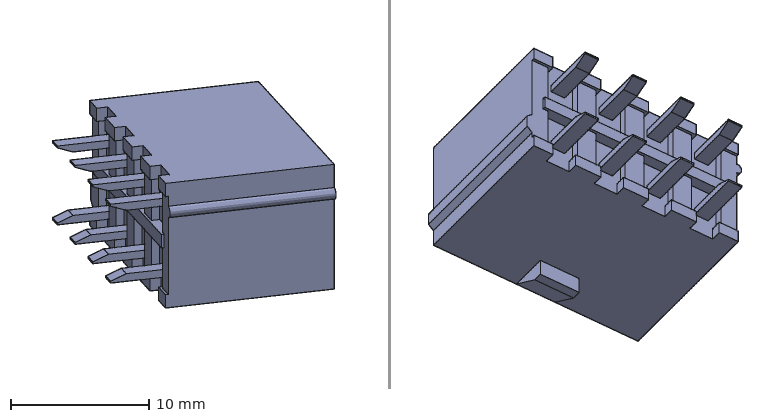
import cadquery as cq


width = 17.94
height = 9.63
length = 12.8
pad_step = 0.2
half_width = width / 2
half_height = height / 2
body_length = length - pad_step

columns = 4
column_pitch = 4.2
column_xs = [(i - (columns - 1) / 2) * column_pitch for i in range(columns)]

pocket_depth = 0.83
pocket_width = 2.55
notch_width = 2.0
pad_height = 1.03
pocket_height = height - 2 * pad_height

bar_width = 16.0
bar_height = 1.03

pin_width = 1.18
pin_thickness = 0.6
pin_reach = 3.5
pin_taper_length = 1.18
pin_tip_thickness = 0.15
row_spacing = 5.49
row_offset = -0.19

rib_reach = 0.43
key_z = -2.46
key_base = 1.8
key_crest = 1.02
bead_z = 2.6

latch_width = 3.4
latch_length = 3.06
latch_flat = 0.71
latch_drop = 1.37


def block(x_size, y_start, y_end, z_size):
    """Box centred on X and Z between two Y planes."""
    box = cq.Workplane("XY").box(x_size, y_end - y_start, z_size)
    return box.translate((0, (y_start + y_end) / 2, 0))


def along_length(profile):
    """Extrude an XZ profile drawn on the rear face forward to the main face."""
    return profile.extrude(body_length)


def rear_plane():
    """XZ plane at the rear face, facing the pin side."""
    return cq.Workplane("XZ", origin=(0, length, 0))


def make_housing():
    """Block with stepped front face, pin pockets and cross bar."""
    housing = block(width, 0, length, height)
    housing = housing.cut(block(width, 0, pad_step, pocket_height))
    for x in column_xs:
        pocket = block(pocket_width, 0, pocket_depth, pocket_height)
        notch = block(notch_width, 0, pocket_depth, height)
        housing = housing.cut(pocket.union(notch).translate((x, 0, 0)))
    return housing.union(block(bar_width, 0, pocket_depth, bar_height))


def make_pin(x, side):
    """Pin whose inner face tapers towards the tip; side is +1 for the upper row, -1 for the lower."""
    z_mid = row_offset + side * row_spacing / 2
    outer_z = z_mid + side * pin_thickness / 2
    inner_z = z_mid - side * pin_thickness / 2
    profile = [
        (pocket_depth, outer_z),
        (-pin_reach, outer_z),
        (-pin_reach, outer_z - side * pin_tip_thickness),
        (pin_taper_length - pin_reach, inner_z),
        (pocket_depth, inner_z),
    ]
    plane = cq.Workplane("YZ", origin=(x, 0, 0))
    return plane.polyline(profile).close().extrude(pin_width / 2, both=True)


def make_key_rib():
    """Trapezoidal rib on the -X side."""
    profile = [
        (-half_width, key_z - key_base / 2),
        (-half_width - rib_reach, key_z - key_crest / 2),
        (-half_width - rib_reach, key_z + key_crest / 2),
        (-half_width, key_z + key_base / 2),
    ]
    return along_length(rear_plane().polyline(profile).close())


def make_bead_rib():
    """Half-round rib on the +X side."""
    profile = rear_plane().moveTo(half_width, bead_z - rib_reach)
    profile = profile.threePointArc((half_width + rib_reach, bead_z), (half_width, bead_z + rib_reach))
    return along_length(profile.close())


def make_latch():
    """Wedge that ramps down from the rear edge to a short flat."""
    bottom = -half_height - latch_drop
    front_y = length - latch_length
    profile = [
        (length, -half_height),
        (front_y, -half_height),
        (front_y, bottom),
        (front_y + latch_flat, bottom),
    ]
    return cq.Workplane("YZ").polyline(profile).close().extrude(latch_width / 2, both=True)


result = make_housing().union(make_key_rib()).union(make_bead_rib()).union(make_latch())
for column_x in column_xs:
    for row_side in (1, -1):
        result = result.union(make_pin(column_x, row_side))